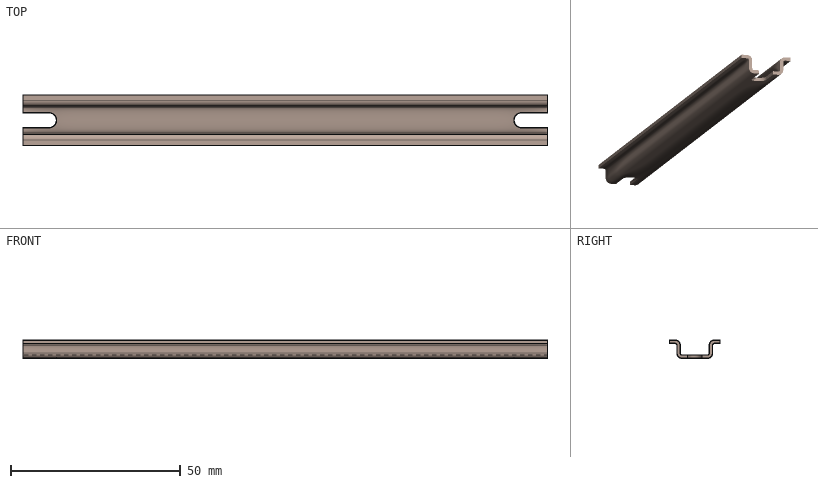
import cadquery as cq

length = 155.0
width = 15.0
height = 5.5
thickness = 1.0
channel_width = 10.5
outer_bend_radius = 1.5

slot_width = 4.3
slot_depth = 9.9

half_width = width / 2
wall_outside = channel_width / 2
wall_inside = wall_outside - thickness
flange_underside = height - thickness

lower_bend_y = wall_outside - outer_bend_radius
lower_bend_z = outer_bend_radius
upper_bend_y = wall_inside + outer_bend_radius
upper_bend_z = height - outer_bend_radius


def half_rail():
    """The +Y half: base, side wall and flange joined by concentric bends."""
    return (
        cq.Workplane("YZ")
        .workplane(offset=-length / 2)
        .lineTo(lower_bend_y, 0)
        .tangentArcPoint((wall_outside, lower_bend_z), relative=False)
        .lineTo(wall_outside, upper_bend_z)
        .tangentArcPoint((upper_bend_y, flange_underside), relative=False)
        .lineTo(half_width, flange_underside)
        .lineTo(half_width, height)
        .lineTo(upper_bend_y, height)
        .tangentArcPoint((wall_inside, upper_bend_z), relative=False)
        .lineTo(wall_inside, lower_bend_z)
        .tangentArcPoint((lower_bend_y, thickness), relative=False)
        .lineTo(0, thickness)
        .close()
        .extrude(length)
    )


def end_slots():
    """Round-ended cutters, centred on the rail ends so that half of each cuts."""
    return (
        cq.Workplane("XY")
        .pushPoints([(-length / 2, 0), (length / 2, 0)])
        .slot2D(2 * slot_depth, slot_width)
        .extrude(thickness)
    )


half = half_rail()
rail = half.union(half.mirror("XZ")).clean()
result = rail.cut(end_slots())